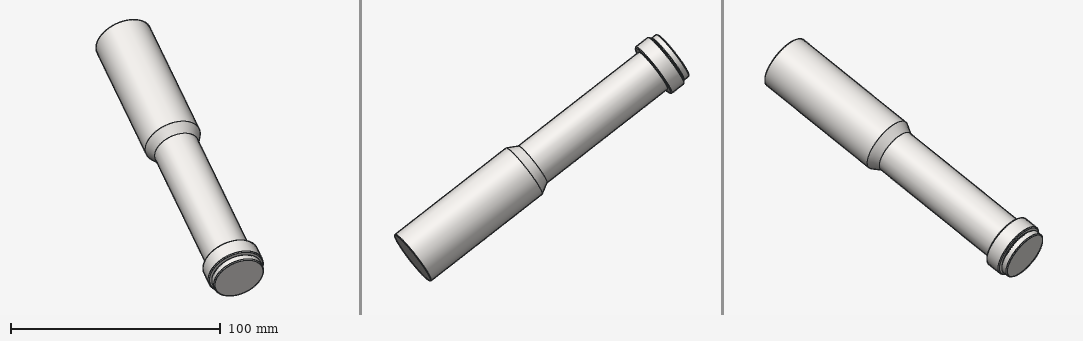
import cadquery as cq

total_length = 158.6
handle_length = 67.9
taper_length = 5.2
collar_start = 146.4
collar_width = 8.2
groove_width = 0.8
edge_chamfer = 0.5
handle_chamfer = 0.3

handle_diameter = 28.0
shank_diameter = 22.4
groove_diameter = 23.3
end_disc_diameter = 25.4


def cylinder(start, end, diameter):
    """Solid cylinder about the X axis between two X positions."""
    return cq.Workplane("YZ", origin=(start, 0, 0)).circle(diameter / 2).extrude(end - start)


taper_end = handle_length + taper_length
collar_end = collar_start + collar_width
disc_start = collar_end + groove_width

handle = cylinder(0, handle_length, handle_diameter).faces("<X").edges().chamfer(handle_chamfer)
taper = (
    cq.Workplane("XY")
    .moveTo(handle_length, 0)
    .lineTo(handle_length, handle_diameter / 2)
    .lineTo(taper_end, shank_diameter / 2)
    .lineTo(taper_end, 0)
    .close()
    .revolve(360, (0, 0, 0), (1, 0, 0))
)
shank = cylinder(taper_end, collar_start, shank_diameter)

collar = cylinder(collar_start, collar_end, handle_diameter).edges().chamfer(edge_chamfer)

groove_core = cylinder(collar_end, disc_start, groove_diameter)
end_disc = cylinder(disc_start, total_length, end_disc_diameter).faces(">X").edges().chamfer(edge_chamfer)

result = handle.union(taper).union(shank).union(collar).union(groove_core).union(end_disc)